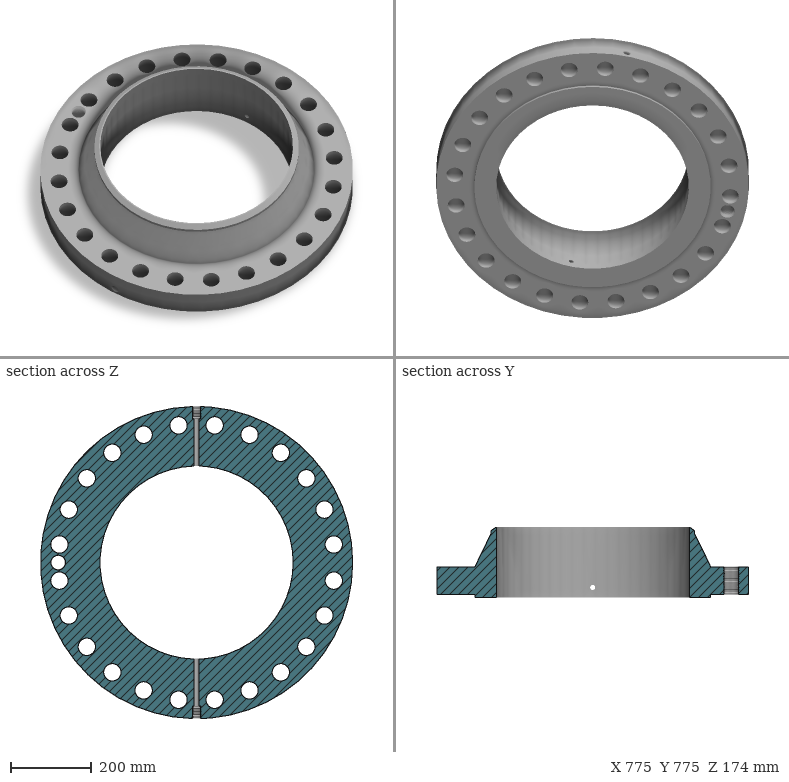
import cadquery as cq

flange_diameter = 775.0
flange_thickness = 70.0
raised_face_diameter = 586.0
raised_face_height = 7.0
total_height = 174.0
bore_diameter = 477.0

hub_base_diameter = 586.0
hub_fillet_radius = 3.0
neck_diameter = 507.0
neck_start_z = 158.0
bevel_height = 8.5
bevel_width = 12.0

bolt_count = 24
bolt_circle_diameter = 685.5
bolt_hole_diameter = 42.0

jack_minor_diameter = 33.0
jack_major_diameter = 36.5
jack_pitch = 3.0

tap_height = 25.0
tap_minor_diameter = 18.0
tap_major_diameter = 21.0
tap_pitch = 1.8
tap_thread_depth = 31.0
tap_passage_diameter = 12.5

flange_radius = flange_diameter / 2
bore_radius = bore_diameter / 2
bolt_circle_radius = bolt_circle_diameter / 2
flange_top_z = raised_face_height + flange_thickness


def flange_body():
    """Revolve the half section of the flange, hub and bore."""
    raised_face_radius = raised_face_diameter / 2
    neck_radius = neck_diameter / 2
    body = (
        cq.Workplane("XZ")
        .moveTo(bore_radius, 0)
        .lineTo(raised_face_radius, 0)
        .lineTo(raised_face_radius, raised_face_height)
        .lineTo(flange_radius, raised_face_height)
        .lineTo(flange_radius, flange_top_z)
        .lineTo(hub_base_diameter / 2, flange_top_z)
        .lineTo(neck_radius, neck_start_z)
        .lineTo(neck_radius, total_height - bevel_height)
        .lineTo(neck_radius - bevel_width, total_height)
        .lineTo(bore_radius, total_height)
        .close()
        .revolve(360, (0, 0, 0), (0, 1, 0))
    )
    root_reach = hub_base_diameter / 2 + hub_fillet_radius
    hub_root = cq.selectors.BoxSelector(
        (-root_reach, -root_reach, flange_top_z - hub_fillet_radius),
        (root_reach, root_reach, flange_top_z + hub_fillet_radius),
        boundingbox=True,
    )
    return body.edges(hub_root).fillet(hub_fillet_radius)


def thread_cutter(minor_diameter, major_diameter, pitch, length):
    """Cutter along +Z from the origin, with thread turns as closed V grooves."""
    minor_radius = minor_diameter / 2
    major_radius = major_diameter / 2
    turn_count = round(length / pitch)
    turn_height = length / turn_count
    profile = cq.Workplane("XZ").lineTo(major_radius, 0)
    for turn in range(turn_count):
        profile = profile.lineTo(minor_radius, (turn + 0.5) * turn_height)
        profile = profile.lineTo(major_radius, (turn + 1) * turn_height)
    return profile.lineTo(0, length).close().revolve(360, (0, 0, 0), (0, 1, 0))


def bolt_holes():
    return (
        cq.Workplane("XY", origin=(0, 0, raised_face_height))
        .polarArray(bolt_circle_radius, 180 / bolt_count, 360, bolt_count)
        .circle(bolt_hole_diameter / 2)
        .extrude(flange_thickness)
    )


def jack_hole():
    cutter = thread_cutter(jack_minor_diameter, jack_major_diameter, jack_pitch, flange_thickness)
    return cutter.translate((-bolt_circle_radius, 0, raised_face_height))


def pressure_tap():
    """Tap cutter entering the flange rim at -Y and running inward."""
    mouth = thread_cutter(tap_minor_diameter, tap_major_diameter, tap_pitch, tap_thread_depth)
    passage = cq.Workplane("XY").circle(tap_passage_diameter / 2).extrude(flange_radius)
    return (
        mouth.union(passage)
        .rotate((0, 0, 0), (1, 0, 0), -90)
        .translate((0, -flange_radius, tap_height))
    )


result = flange_body().cut(bolt_holes()).cut(jack_hole())
for tap_angle in (0, 180):
    result = result.cut(pressure_tap().rotate((0, 0, 0), (0, 0, 1), tap_angle))